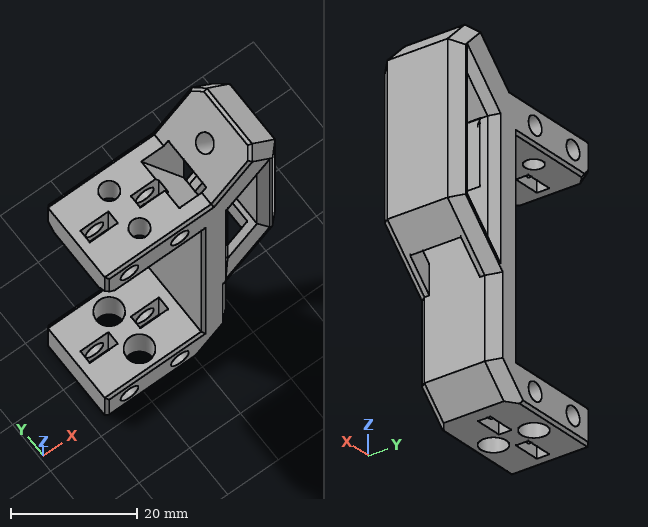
import cadquery as cq
import math

width = 16.0
length = 34.8
height = 63.5

arm_thickness = 7.0
upper_arm_top = 55.0
web_inner_x = 19.05
web_outer_x = 25.0
heel_cut = 5.0

handle_wall = 4.0
handle_root_z = 20.5
shoulder_x = 21.0

back_bevel = 2.05
edge_bevel = 0.5
window_bevel = 1.45
arm_corner_cut = 2.05

screw_dia = 3.5
screw_pocket_dia = 5.0
screw_spacing_y = 8.0
first_cross_hole_x = 4.5
cross_hole_spacing = 10.0
nut_slot_length = 5.5
nut_slot_width = 2.5
handle_hole_x = 25.4
strap_slot_width = 10.05
strap_slot_start_x = 16.6
strap_slot_end_x = 21.9
strap_slot_angle = 65
strap_exit_length = 5.0

root_two = math.sqrt(2)
tolerance = 6.35e-05
half_width = width / 2
upper_arm_bottom = upper_arm_top - arm_thickness
cross_hole_xs = (first_cross_hole_x, first_cross_hole_x + cross_hole_spacing)
arm_middle_x = sum(cross_hole_xs) / 2
arm_middle_zs = (arm_thickness / 2, upper_arm_top - arm_thickness / 2)

shoulder_level = upper_arm_top - shoulder_x
root_level = handle_root_z - web_outer_x
inner_shoulder_level = shoulder_level - arm_thickness * root_two
inner_root_level = root_level + handle_wall * root_two
window_right_x = length - handle_wall
strap_slope = math.tan(math.radians(strap_slot_angle))

tip_z = height + edge_bevel / root_two
tip_x = tip_z - shoulder_level
handle_top_corner_z = tip_z + tip_x - length


def prism(points, depth):
    """Extrude an XZ outline symmetrically about Y = 0."""
    return cq.Workplane("XZ").polyline(points).close().extrude(depth / 2, both=True)


def side_edges(solid, points):
    """Edges on the two Y faces that lie on the open path through the points."""
    found = []
    for edge in solid.faces("<Y or >Y").edges().vals():
        middle = edge.Center()
        for (x1, z1), (x2, z2) in zip(points, points[1:]):
            run = math.hypot(x2 - x1, z2 - z1)
            offset = abs((x2 - x1) * (middle.z - z1) - (z2 - z1) * (middle.x - x1)) / run
            along = ((x2 - x1) * (middle.x - x1) + (z2 - z1) * (middle.z - z1)) / run
            if offset < tolerance and 0 < along < run:
                found.append(edge)
    return solid.newObject(found)


def on_slope(point, level):
    """True where a point lies on the rising 45 degree plane at the given level."""
    return abs(point.z - point.x - level) < tolerance


def arm_corner(side):
    """Wedge that slices one lower end corner of the upper arm; side is -1 or 1."""
    apex = cq.Vector(0, side * half_width, upper_arm_bottom)
    steps = (
        cq.Vector(arm_corner_cut, 0, 0),
        cq.Vector(0, -side * arm_corner_cut, 0),
        cq.Vector(0, 0, arm_corner_cut),
    )
    corners = [apex] + [apex + step for step in steps]
    faces = []
    for skipped in corners:
        triangle = [corner for corner in corners if corner is not skipped]
        faces.append(cq.Face.makeFromWires(cq.Wire.makePolygon(triangle, close=True)))
    return cq.Solid.makeSolid(cq.Shell.makeShell(faces))


def strap_point(start_x, start_z, run):
    """Point reached from a start point after a run in X down the strap slope."""
    return (start_x + run, start_z - run * strap_slope)


back_points = [
    (web_outer_x - heel_cut, 0),
    (web_outer_x, heel_cut),
    (web_outer_x, handle_root_z),
    (length, length + root_level),
    (length, handle_top_corner_z),
    (tip_x, tip_z),
]
front_points = [
    (shoulder_x, upper_arm_top),
    (0, upper_arm_top),
    (0, upper_arm_bottom),
    (web_inner_x, upper_arm_bottom),
    (web_inner_x, arm_thickness),
    (0, arm_thickness),
    (0, 0),
]
body = prism(back_points + front_points, width)

body = side_edges(body, back_points).chamfer(back_bevel)

light_edges = side_edges(body, back_points[-1:] + front_points + back_points[:1]).vals()
for edge in body.edges().vals():
    middle = edge.Center()
    if on_slope(middle, shoulder_level) and middle.x > tip_x - back_bevel:
        light_edges.append(edge)
body = body.newObject(light_edges).chamfer(edge_bevel)

for side in (-1, 1):
    body = body.cut(cq.Workplane(obj=arm_corner(side)))

window_points = [
    (web_outer_x, web_outer_x + inner_root_level),
    (window_right_x, window_right_x + inner_root_level),
    (window_right_x, window_right_x + inner_shoulder_level),
    (web_outer_x, web_outer_x + inner_shoulder_level),
]
window = prism(window_points, width)
body = side_edges(body.cut(window), window_points + window_points[:1]).chamfer(window_bevel)

for x in cross_hole_xs:
    for z in arm_middle_zs:
        cross_hole = cq.Workplane("XZ").center(x, z).circle(screw_dia / 2)
        body = body.cut(cross_hole.extrude(width, both=True))
    nut_slot = cq.Workplane("XY").center(x, 0).rect(nut_slot_length, nut_slot_width)
    body = body.cut(nut_slot.extrude(height))

for side in (-1, 1):
    screw_axis = cq.Workplane("XY").center(arm_middle_x, side * screw_spacing_y / 2)
    body = body.cut(screw_axis.circle(screw_dia / 2).extrude(height))
    body = body.cut(screw_axis.circle(screw_pocket_dia / 2).extrude(arm_thickness))

slope_plane = cq.Plane(
    origin=(handle_hole_x, 0, handle_hole_x + shoulder_level),
    xDir=(0, 1, 0),
    normal=(1, 0, -1),
)
body = body.cut(cq.Workplane(slope_plane).circle(screw_dia / 2).extrude(arm_thickness))

strap_low = (strap_slot_start_x, upper_arm_top)
strap_high = (strap_slot_end_x, strap_slot_end_x + shoulder_level)
strap_points = [
    strap_low,
    strap_point(*strap_low, web_outer_x - strap_slot_start_x),
    strap_point(*strap_high, web_outer_x - strap_slot_end_x),
    strap_high,
    (shoulder_x, upper_arm_top),
]
body = body.cut(prism(strap_points, strap_slot_width))

strap_exit_right_x = web_outer_x + strap_exit_length
strap_exit_points = [
    (web_outer_x, web_outer_x + root_level),
    (strap_exit_right_x, web_outer_x + root_level),
    (strap_exit_right_x, strap_exit_right_x + inner_root_level),
    (web_outer_x, strap_exit_right_x + inner_root_level),
]
body = body.cut(prism(strap_exit_points, strap_slot_width))

result = body